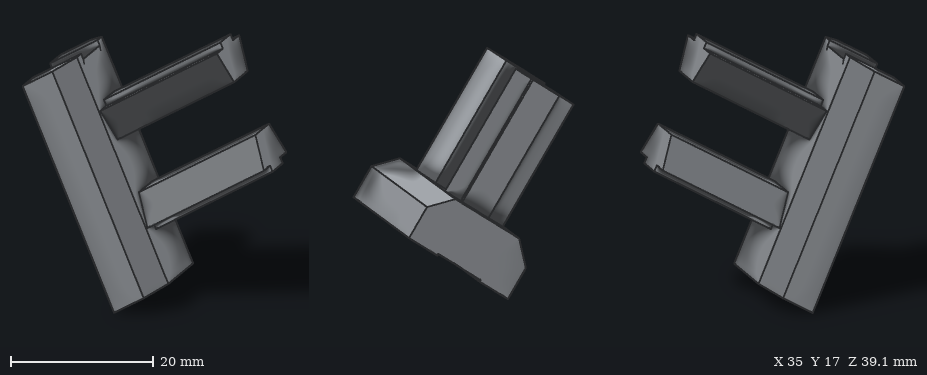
import cadquery as cq
import math

prong_angle = 30.0
lean_angle = 23.0

block_length = 34.7
block_depth = 8.15
block_width = 17.0
chamfer_depth = 3.05
chamfer_width = 3.0

slot_width = 7.28
slot_top_drop = 0.82
slot_bottom_depth = 0.27

prong_length = 19.95
prong_height = 5.85
prong_width = 9.95
prong_inner_width = 6.02
prong_gap = 8.05
tongue_height = 0.95
tongue_width = 4.5

along_prong = cq.Vector(math.cos(math.radians(prong_angle)), 0, math.sin(math.radians(prong_angle)))
up_block = cq.Vector(-math.sin(math.radians(lean_angle)), 0, math.cos(math.radians(lean_angle)))


def place(depth, y, height):
    """Point in the skewed frame whose origin is the middle of the block's back face."""
    return along_prong * depth + cq.Vector(0, y, 0) + up_block * height


def prism(points, direction):
    """Sweep a closed outline straight along a vector, which may be oblique to it."""
    outline = cq.Wire.makePolygon(points, close=True)
    return cq.Workplane(obj=cq.Solid.extrudeLinear(outline, [], direction))


def mirrored_outline(half):
    """Complete a half outline of (position, y) pairs by mirroring it across y = 0."""
    return half + [(position, -y) for position, y in reversed(half)]


def make_block():
    half_width = block_width / 2
    outline = mirrored_outline([
        (-block_depth, half_width),
        (-chamfer_depth, half_width),
        (0, half_width - chamfer_width),
    ])
    points = [place(depth, y, -block_length / 2) for depth, y in outline]
    return prism(points, up_block * block_length)


def make_slot():
    side = -slot_width / 2
    top = block_length / 2
    points = [
        place(-block_depth, side, -top),
        place(-block_depth, side, top),
        place(0, side, top),
        place(0, side, top - slot_top_drop),
        place(slot_bottom_depth - block_depth, side, -top),
    ]
    return prism(points, cq.Vector(0, slot_width, 0))


def make_prong(side):
    """Tapered prong with its tongue facing outward; side is 1 for the upper, -1 for the lower."""
    inner = prong_gap / 2
    outer = inner + prong_height
    shoulder = outer - tongue_height
    outline = mirrored_outline([
        (inner, prong_inner_width / 2),
        (shoulder, prong_width / 2),
        (shoulder, tongue_width / 2),
        (outer, tongue_width / 2),
    ])
    points = [place(0, y, side * height) for height, y in outline]
    return prism(points, along_prong * prong_length)


result = make_block().cut(make_slot())
for side in (1, -1):
    result = result.union(make_prong(side))